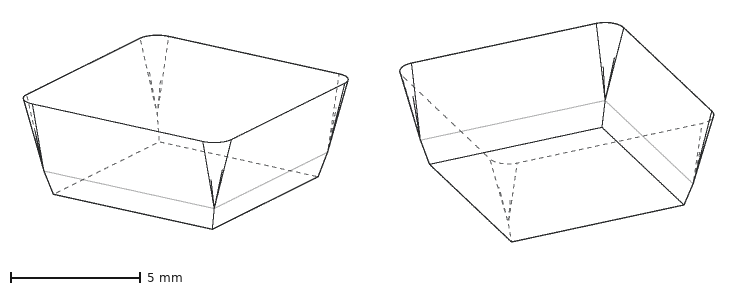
import cadquery as cq
import math

side_length = 9.525
thickness = 3.97
corner_radius = 0.8
relief_angle = 15.0

cone_height = corner_radius / math.tan(math.radians(relief_angle))
tip_z = thickness - cone_height
half_side = side_length / 2
half_core = half_side - corner_radius
core_side = 2 * half_core

quarter_turns = (0, 90, 180, 270)


def turned(shape, angle):
    """Shape turned about the vertical axis of the insert."""
    return shape.rotate((0, 0, 0), (0, 0, 1), angle)


def lower_band():
    """Sharp-cornered base, narrowing from the cone tips down to the bottom face."""
    return (
        cq.Workplane("XY", origin=(0, 0, tip_z))
        .rect(core_side, core_side)
        .extrude(-tip_z, taper=relief_angle)
    )


def side_wedge():
    """Triangular prism between the square core and the relieved +X side."""
    return (
        cq.Workplane("XZ", origin=(0, half_core, 0))
        .moveTo(half_core, tip_z)
        .lineTo(half_side, thickness)
        .lineTo(half_core, thickness)
        .close()
        .extrude(core_side)
    )


def corner_cone():
    """Cone standing on its tip at the +X +Y corner of the core."""
    tip = cq.Vector(half_core, half_core, tip_z)
    cone = cq.Solid.makeCone(0, corner_radius, cone_height, tip, cq.Vector(0, 0, 1))
    return cq.Workplane(cone)


def upper_band():
    """Square core with relieved sides and conical corners."""
    body = (
        cq.Workplane("XY", origin=(0, 0, tip_z))
        .rect(core_side, core_side)
        .extrude(cone_height)
    )
    for angle in quarter_turns:
        body = body.union(turned(side_wedge(), angle))
        body = body.union(turned(corner_cone(), angle))
    return body.clean()


result = upper_band().union(lower_band(), clean=False)